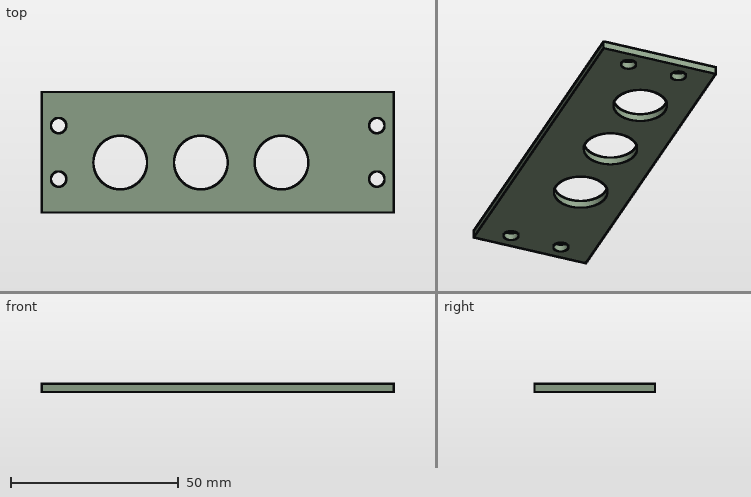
import cadquery as cq

plate_length = 105.0
plate_width = 36.0
plate_thickness = 2.5

opening_diameter = 16.0
opening_pitch = 24.0
opening_count = 3
opening_row_x = -5.0
opening_row_y = -3.0

mount_diameter = 4.5
mount_edge_distance = 5.0
mount_spacing_x = plate_length - 2 * mount_edge_distance
mount_spacing_y = 16.0


def make_plate():
    """Plate centred on the origin in X and Y, with its underside on Z = 0."""
    return cq.Workplane("XY").box(plate_length, plate_width, plate_thickness, centered=(True, True, False))


def cut_openings(plate):
    """Cut the evenly spaced row of large round openings through the plate."""
    return (
        plate.faces(">Z").workplane(origin=(opening_row_x, opening_row_y, plate_thickness))
        .rarray(opening_pitch, 1, opening_count, 1)
        .hole(opening_diameter)
    )


def cut_mounting_holes(plate):
    """Drill the rectangular pattern of mounting holes through the plate."""
    return (
        plate.faces(">Z").workplane(origin=(0, 0, plate_thickness))
        .rarray(mount_spacing_x, mount_spacing_y, 2, 2)
        .hole(mount_diameter)
    )


result = cut_mounting_holes(cut_openings(make_plate()))